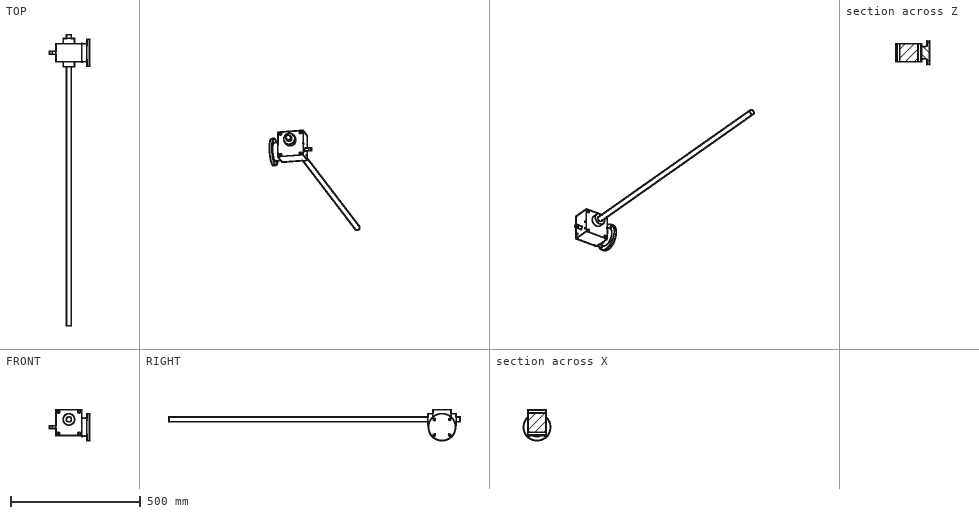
import cadquery as cq

housing_length = 100.0
housing_depth = 70.0
housing_height = 100.0
collar_diameter = 44.0
collar_length = 20.0
mount_hole_diameter = 9.0
mount_spacing_x = 80.0
mount_spacing_z = 85.0
tapped_hole_diameter = 4.13
tapped_hole_depth = 10.0
tapped_spacing_y = 53.0
tapped_spacing_z = 29.0

flange_diameter = 105.0
flange_thickness = 10.0
hub_end_diameter = 73.0
hub_waist_diameter = 70.0
hub_length = 20.0
flange_hole_diameter = 7.0
flange_hole_circle = 85.0
flange_hole_count = 4
flange_hole_start_angle = 45.0

spindle_diameter = 20.0
spindle_length = 1125.0
spindle_rear_overhang = 15.0

shaft_diameter = 12.0
shaft_overhang = 25.0
shaft_seat_depth = 20.0
centre_hole_diameter = tapped_hole_diameter
centre_hole_depth = 10.0

spindle_below_top = 37.5
axis_distance = 30.0

housing_left = -housing_length / 2
housing_right = housing_length / 2
housing_middle_z = spindle_below_top - housing_height / 2
shaft_z = -axis_distance
shaft_tip = housing_left - shaft_overhang
collar_span = housing_depth + 2 * collar_length


def cylinder_x(diameter, x_start, length):
    """Cylinder on the input shaft axis, running towards +X."""
    plane = cq.Workplane("YZ", origin=(x_start, 0, shaft_z))
    return plane.circle(diameter / 2).extrude(length)


def cylinder_y(diameter, y_rear, length):
    """Cylinder on the spindle axis, running towards -Y."""
    plane = cq.Workplane("XZ", origin=(0, y_rear, 0))
    return plane.circle(diameter / 2).extrude(length)


def spindle_blank():
    return cylinder_y(spindle_diameter, collar_span / 2 + spindle_rear_overhang, spindle_length)


def shaft_blank():
    return cylinder_x(shaft_diameter, shaft_tip, shaft_overhang + shaft_seat_depth)


def mount_holes():
    """Four holes through the housing along Y, near its corners."""
    return (
        cq.Workplane("XZ", origin=(0, housing_depth / 2, housing_middle_z))
        .rect(mount_spacing_x, mount_spacing_z, forConstruction=True)
        .vertices()
        .circle(mount_hole_diameter / 2)
        .extrude(housing_depth)
    )


def tapped_holes():
    """Four blind holes in the left face, around the input shaft."""
    return (
        cq.Workplane("YZ", origin=(housing_left, 0, shaft_z))
        .rect(tapped_spacing_y, tapped_spacing_z, forConstruction=True)
        .vertices()
        .circle(tapped_hole_diameter / 2)
        .extrude(tapped_hole_depth)
    )


def make_housing():
    """Block with a collar on the front and rear, bored for the spindle and the input shaft."""
    block = cq.Workplane("XY").box(housing_length, housing_depth, housing_height)
    block = block.translate((0, 0, housing_middle_z))
    block = block.union(cylinder_y(collar_diameter, collar_span / 2, collar_span))
    block = block.cut(mount_holes()).cut(tapped_holes())
    return block.cut(spindle_blank()).cut(shaft_blank())


def make_input_shaft():
    return shaft_blank().cut(cylinder_x(centre_hole_diameter, shaft_tip, centre_hole_depth))


def flange_hub():
    """Hub whose side is a shallow concave arc, narrowest halfway along."""
    return (
        cq.Workplane("XY", origin=(housing_right, 0, shaft_z))
        .lineTo(0, hub_end_diameter / 2)
        .threePointArc((hub_length / 2, hub_waist_diameter / 2), (hub_length, hub_end_diameter / 2))
        .lineTo(hub_length, 0)
        .close()
        .revolve(360, (0, 0, 0), (1, 0, 0))
    )


def make_motor_flange():
    plate_start = housing_right + hub_length
    bolt_holes = (
        cq.Workplane("YZ", origin=(plate_start, 0, shaft_z))
        .polarArray(flange_hole_circle / 2, flange_hole_start_angle, 360, flange_hole_count)
        .circle(flange_hole_diameter / 2)
        .extrude(flange_thickness)
    )
    plate = cylinder_x(flange_diameter, plate_start, flange_thickness)
    return flange_hub().union(plate).cut(bolt_holes)


housing = make_housing()
spindle = spindle_blank()
input_shaft = make_input_shaft()
motor_flange = make_motor_flange()

bodies = [housing, spindle, input_shaft, motor_flange]
result = cq.Compound.makeCompound([body.solids().val() for body in bodies])